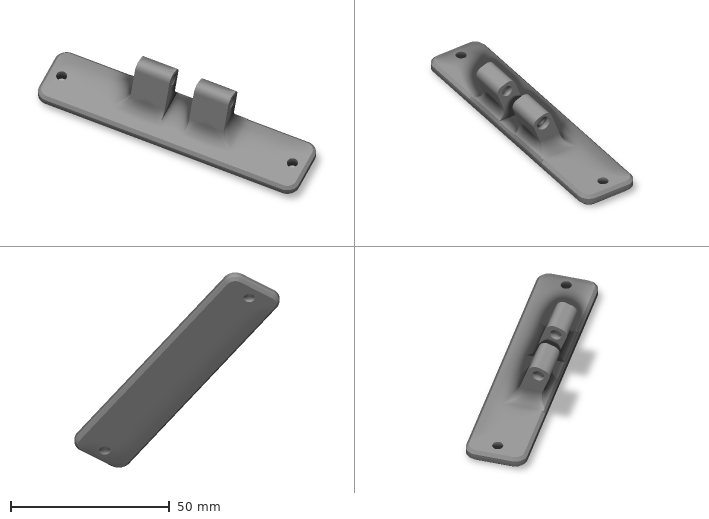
import cadquery as cq
import math

plate_length = 90.0
plate_width = 20.0
plate_thickness = 4.0
corner_radius = 4.0
plate_chamfer = 1.0
screw_hole_diameter = 3.5
screw_hole_spacing = 80.0

lug_width = 12.0
lug_gap = 8.5
lug_thickness = 7.0
lean_angle = 20.0
tip_radius = 2.5
root_fillet = 4.0
pair_width = 2 * lug_width + lug_gap

back_arc_top_z = 8.3
crest_y = 9.4
crest_z = 4.2

pin_y = 6.6
pin_z = 14.7
pin_to_tip = 3.15
pin_diameter = 3.8
pin_head_diameter = 4.8
pin_head_depth = 2.0

lean = math.radians(lean_angle)


def lug_point(forward, up):
    """(y, z) of a point measured from the pin, across and along the leaning lug."""
    y = pin_y - forward * math.cos(lean) + up * math.sin(lean)
    z = pin_z + forward * math.sin(lean) + up * math.cos(lean)
    return y, z


def face_point(forward, z):
    """(y, z) of the point at height z on a leaning face."""
    up = (z - pin_z - forward * math.sin(lean)) / math.cos(lean)
    return lug_point(forward, up)


def make_plate():
    return (
        cq.Workplane("XY")
        .box(plate_length, plate_width, plate_thickness, centered=(True, True, False))
        .edges("|Z").fillet(corner_radius)
        .faces("<Z or >Z").edges().chamfer(plate_chamfer)
    )


def make_side_profile():
    """Leaning side outline of the lugs with concave roots, extruded across both lugs."""
    half_thickness = lug_thickness / 2
    shoulder = half_thickness - tip_radius
    shoulder_up = pin_to_tip - tip_radius
    tip_reach = tip_radius * math.sqrt(0.5)

    front_tangent = root_fillet * math.tan((math.pi / 2 - lean) / 2)
    front_corner_y = face_point(half_thickness, plate_thickness)[0]
    front_arc_top = face_point(half_thickness, plate_thickness + front_tangent * math.cos(lean))
    back_arc_top = face_point(-half_thickness, back_arc_top_z)

    chamfer_foot_z = plate_thickness - plate_chamfer
    front_root_y = front_corner_y - front_tangent
    total_width = pair_width + 2 * root_fillet

    return (
        cq.Workplane("YZ", origin=(-total_width / 2, 0, 0))
        .moveTo(front_root_y, chamfer_foot_z)
        .lineTo(front_root_y, plate_thickness)
        .radiusArc(front_arc_top, -root_fillet)
        .lineTo(*lug_point(half_thickness, shoulder_up))
        .threePointArc(
            lug_point(shoulder + tip_reach, shoulder_up + tip_reach),
            lug_point(shoulder, pin_to_tip),
        )
        .lineTo(*lug_point(-shoulder, pin_to_tip))
        .threePointArc(
            lug_point(-shoulder - tip_reach, shoulder_up + tip_reach),
            lug_point(-half_thickness, shoulder_up),
        )
        .lineTo(*back_arc_top)
        .tangentArcPoint((crest_y, crest_z), relative=False)
        .lineTo(plate_width / 2, chamfer_foot_z)
        .close()
        .extrude(total_width)
    )


def make_front_profile():
    """Outline across both lugs, flaring out at the plate; deep enough to cover them."""
    half_pair = pair_width / 2
    flare_top_z = plate_thickness + root_fillet
    flare_x = half_pair + root_fillet
    top_z = pin_z + lug_thickness
    return (
        cq.Workplane("XZ")
        .moveTo(-flare_x, 0)
        .lineTo(-flare_x, plate_thickness)
        .radiusArc((-half_pair, flare_top_z), -root_fillet)
        .lineTo(-half_pair, top_z)
        .lineTo(half_pair, top_z)
        .lineTo(half_pair, flare_top_z)
        .radiusArc((flare_x, plate_thickness), -root_fillet)
        .lineTo(flare_x, 0)
        .close()
        .extrude(plate_width, both=True)
    )


def make_gap():
    return (
        cq.Workplane("XY", origin=(0, 0, plate_thickness))
        .box(lug_gap, 2 * plate_width, 2 * pin_z, centered=(True, True, False))
    )


def make_pin_cylinder(diameter, length):
    """Cylinder on the pin axis, starting at the outer face of the -X lug."""
    return (
        cq.Workplane("YZ", origin=(-pair_width / 2, pin_y, pin_z))
        .circle(diameter / 2)
        .extrude(length)
    )


def make_screw_holes():
    return (
        cq.Workplane("XY")
        .pushPoints([(-screw_hole_spacing / 2, 0), (screw_hole_spacing / 2, 0)])
        .circle(screw_hole_diameter / 2)
        .extrude(plate_thickness)
    )


lugs = make_side_profile().intersect(make_front_profile()).cut(make_gap())
lugs = lugs.cut(make_pin_cylinder(pin_diameter, pair_width))
lugs = lugs.cut(make_pin_cylinder(pin_head_diameter, pin_head_depth))

result = make_plate().union(lugs).cut(make_screw_holes())